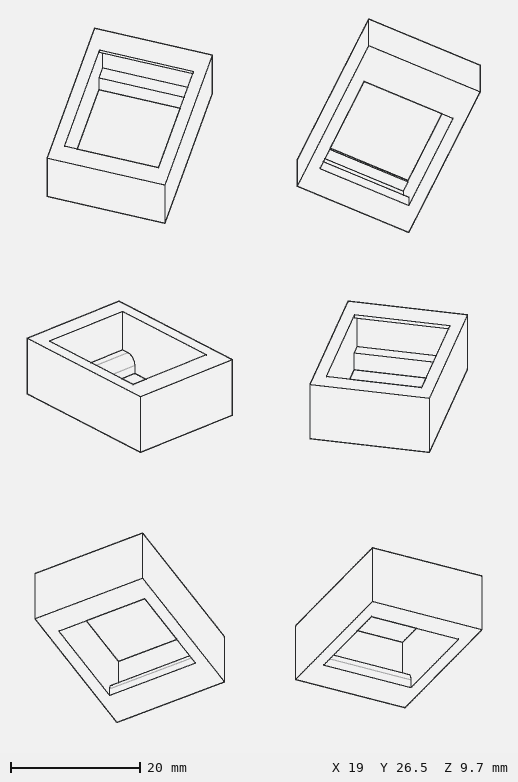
import cadquery as cq

width = 19.0
length = 26.5
height = 9.7

side_wall = 1.93
front_wall = 3.02
back_lip_depth = 3.92
lip_thickness = 0.58

back_wall = 2.17
ledge_height = 3.02
back_ledge_depth = 4.21

shelf_width = 1.25
nose_radius = 1.62

opening_width = width - 2 * side_wall
lip_y = length - back_lip_depth
ledge_y = length - back_ledge_depth
recess_y = length - back_wall
lip_z = height - lip_thickness
nose_start_y = front_wall + shelf_width
nose_tip_y = nose_start_y + nose_radius
nose_base_z = ledge_height - nose_radius
nose_diagonal = nose_radius * 0.5 ** 0.5


def make_opening():
    """Opening profile in the YZ plane, extruded between the side walls."""
    return (
        cq.Workplane("YZ", origin=(side_wall, 0, 0))
        .moveTo(nose_tip_y, 0)
        .lineTo(nose_tip_y, nose_base_z)
        .threePointArc(
            (nose_start_y + nose_diagonal, nose_base_z + nose_diagonal),
            (nose_start_y, ledge_height),
        )
        .lineTo(front_wall, ledge_height)
        .lineTo(front_wall, height)
        .lineTo(lip_y, height)
        .lineTo(lip_y, lip_z)
        .lineTo(recess_y, lip_z)
        .lineTo(recess_y, ledge_height)
        .lineTo(ledge_y, ledge_height)
        .lineTo(ledge_y, 0)
        .close()
        .extrude(opening_width)
    )


block = cq.Workplane("XY").box(width, length, height, centered=False)
result = block.cut(make_opening())